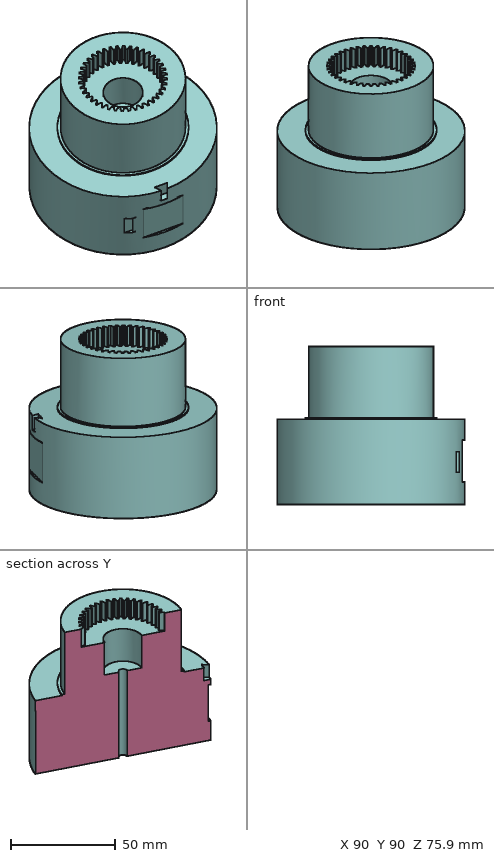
import cadquery as cq
import math

body_diameter = 90.0
body_height = 41.0
collar_diameter = 62.9
collar_height = 0.5
boss_diameter = 59.9
total_height = 75.9

tooth_count = 40
gear_tip_diameter = 38.0
gear_root_diameter = 42.5
pressure_angle = math.radians(20)
gear_depth = 10.0

bore_diameter = 19.0
bore_depth = 18.0
shaft_hole_diameter = 4.2

dovetail_floor_x = 41.6
dovetail_inner_width = 6.7
dovetail_mouth_width = 3.2
dovetail_depth = 7.0

recess_floor_x = 43.7
recess_bottom = 11.0
recess_height = 20.0

side_slot_x = 41.5
side_slot_width = 1.5
side_slot_bottom = 15.5
side_slot_height = 9.9
side_slot_end_y = -9.9

body_radius = body_diameter / 2


def cylinder(diameter, bottom, top):
    """Upright cylinder on the Z axis between two heights."""
    return cq.Workplane("XY").workplane(offset=bottom).circle(diameter / 2).extrude(top - bottom)


def polar(radius, angle):
    return (radius * math.cos(angle), radius * math.sin(angle))


def gear_cutter(depth):
    """Straight-flanked gear whose teeth cut the tooth spaces of the internal ring."""
    inner_radius = gear_tip_diameter / 2
    outer_radius = gear_root_diameter / 2
    gear_module = gear_tip_diameter / (tooth_count - 2)
    pitch_radius = inner_radius + gear_module
    pitch_angle = 2 * math.pi / tooth_count
    space_half_angle = pitch_angle / 4

    def half_angle(radius):
        """Half the angle of one tooth space, narrowing outward along the flank."""
        flank_shift = (radius - pitch_radius) * math.tan(pressure_angle)
        return space_half_angle - flank_shift / radius

    inner_half = half_angle(inner_radius)
    outer_half = half_angle(outer_radius)
    profile = cq.Workplane("XY").moveTo(*polar(inner_radius, -inner_half))
    for index in range(tooth_count):
        middle = index * pitch_angle
        land_start = middle + inner_half
        land_end = middle + pitch_angle - inner_half
        profile = (
            profile.lineTo(*polar(outer_radius, middle - outer_half))
            .threePointArc(polar(outer_radius, middle), polar(outer_radius, middle + outer_half))
            .lineTo(*polar(inner_radius, land_start))
            .threePointArc(polar(inner_radius, (land_start + land_end) / 2), polar(inner_radius, land_end))
        )
    return profile.close().extrude(depth)


def dovetail_cutter():
    """Slot wide at its inner wall and narrow where it opens on the rim."""
    flank_slope = (dovetail_inner_width - dovetail_mouth_width) / 2 / (body_radius - dovetail_floor_x)
    overshoot = 0.9
    inner_half = dovetail_inner_width / 2
    outer_half = dovetail_mouth_width / 2 - flank_slope * overshoot
    outer_x = body_radius + overshoot
    outline = [
        (dovetail_floor_x, -inner_half),
        (outer_x, -outer_half),
        (outer_x, outer_half),
        (dovetail_floor_x, inner_half),
    ]
    slot_floor = body_height - dovetail_depth
    sketch = cq.Workplane("XY").workplane(offset=slot_floor).polyline(outline).close()
    return sketch.extrude(dovetail_depth)


def recess_cutter():
    """Block that trims the +X flank back to a flat."""
    recess_depth = body_radius - recess_floor_x
    block = cq.Workplane("XY").box(
        recess_depth, body_diameter, recess_height, centered=(False, True, False)
    )
    return block.translate((recess_floor_x, 0, recess_bottom))


def side_slot_cutter():
    """Thin upright slot entering from -Y and ending inside the body."""
    slot_length = side_slot_end_y + body_radius
    block = cq.Workplane("XY").box(
        side_slot_width, slot_length, side_slot_height, centered=(True, False, False)
    )
    return block.translate((side_slot_x, -body_radius, side_slot_bottom))


collar_top = body_height + collar_height
gear_floor = total_height - gear_depth

result = (
    cylinder(body_diameter, 0, body_height)
    .union(cylinder(collar_diameter, body_height, collar_top))
    .union(cylinder(boss_diameter, collar_top, total_height))
    .cut(gear_cutter(gear_depth).translate((0, 0, gear_floor)))
    .cut(cylinder(bore_diameter, gear_floor - bore_depth, gear_floor))
    .cut(cylinder(shaft_hole_diameter, 0, gear_floor))
    .cut(dovetail_cutter())
    .cut(recess_cutter())
    .cut(side_slot_cutter())
)